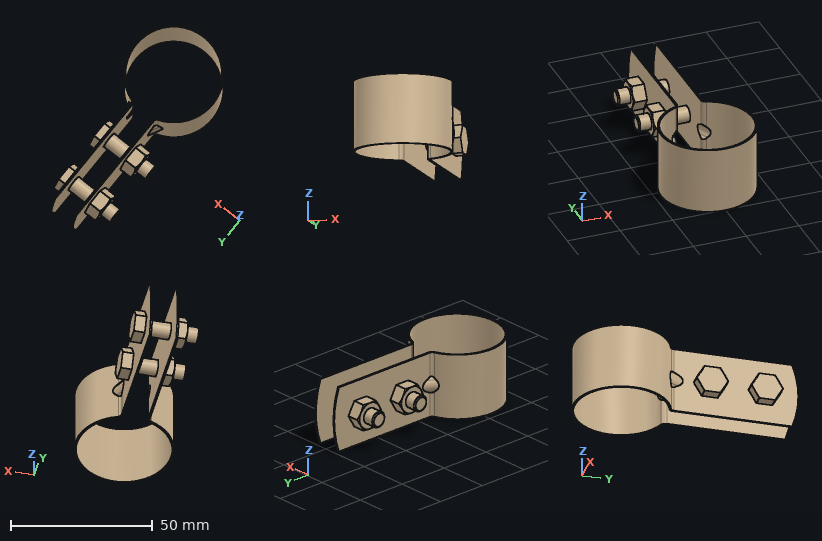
import cadquery as cq
import math


strap_width = 25.0
strap_thickness = 0.6
overall_length = 80.9
ring_diameter = 35.2
ring_radius = ring_diameter / 2
tab_face = 5.1
tab_end = overall_length - ring_radius
tab_end_rise = 2.2
bend_radius = 1.4

gusset_top_y = 21.1
gusset_foot_x = 7.8
gusset_diameter = 7.0
gusset_radius = gusset_diameter / 2
gusset_flank_angle = 40.0
gusset_depth = 3.2
gusset_overrun = 1.0

bolt_count = 2
bolt_diameter = 6.0
bolt_chamfer = 0.5
shank_length = 20.0
hex_across_flats = 10.0
hex_across_corners = hex_across_flats / math.cos(math.radians(30))
head_height = 4.0
nut_height = 5.0
nut_chamfer_angle = 30.0
bolt_end_distance = 12.45
bolt_spacing = 20.0
bolt_positions = [tab_end - bolt_end_distance - i * bolt_spacing for i in range(bolt_count)]


def strap_edge_points(depth):
    """Points along the -X half of the strap at a depth below its outer surface."""
    bend_x = -tab_face - bend_radius
    bend_y = math.sqrt((ring_radius + bend_radius) ** 2 - bend_x ** 2)
    ring_bend_angle = math.atan2(-bend_y, -bend_x)
    radius = bend_radius + depth

    def on_bend(angle):
        return (bend_x + radius * math.cos(angle), bend_y + radius * math.sin(angle))

    return {
        "tab_end": (-tab_face + depth, tab_end),
        "bend_start": on_bend(0),
        "bend_middle": on_bend(ring_bend_angle / 2),
        "bend_end": on_bend(ring_bend_angle),
        "ring_bottom": (0, depth - ring_radius),
    }


def enclosed_solid(depth):
    """Keyhole-shaped solid enclosed by the strap surface at a depth, gussets included."""
    left = strap_edge_points(depth)
    right = {name: (-x, y) for name, (x, y) in left.items()}
    keyhole = (
        cq.Workplane("XY")
        .moveTo(*left["tab_end"])
        .lineTo(*left["bend_start"])
        .threePointArc(left["bend_middle"], left["bend_end"])
        .threePointArc(left["ring_bottom"], right["bend_end"])
        .threePointArc(right["bend_middle"], right["bend_start"])
        .lineTo(*right["tab_end"])
        .close()
        .extrude(strap_width / 2, both=True)
    )
    press = gusset_press(depth)
    return keyhole.union(press).union(press.mirror("YZ"))


def gusset_press(depth):
    """Round-nosed V prism along the -X ridge, set a depth below the outer surface."""
    foot_y = math.sqrt(ring_radius ** 2 - gusset_foot_x ** 2)
    run_x = tab_face - gusset_foot_x
    run_y = foot_y - gusset_top_y
    ridge_length = math.hypot(run_x, run_y)
    ridge_plane = cq.Plane(
        origin=(-tab_face, gusset_top_y, 0),
        xDir=(run_y, -run_x, 0),
        normal=(run_x, run_y, 0),
    )
    radius = gusset_radius - depth
    flank = math.radians(gusset_flank_angle)
    arc_x = -gusset_radius + radius * math.cos(flank)
    arc_y = radius * math.sin(flank)
    base_y = arc_y + (gusset_depth + arc_x) / math.tan(flank)
    return (
        cq.Workplane(ridge_plane)
        .workplane(offset=-gusset_overrun)
        .moveTo(-gusset_depth, -base_y)
        .lineTo(arc_x, -arc_y)
        .threePointArc((-depth, 0), (arc_x, arc_y))
        .lineTo(-gusset_depth, base_y)
        .close()
        .extrude(ridge_length + 2 * gusset_overrun)
    )


def tab_end_limit():
    """Slab with a rounded +Y end that trims both tabs."""
    return (
        cq.Workplane("YZ")
        .moveTo(-ring_radius, -strap_width / 2)
        .lineTo(tab_end - tab_end_rise, -strap_width / 2)
        .threePointArc((tab_end, 0), (tab_end - tab_end_rise, strap_width / 2))
        .lineTo(-ring_radius, strap_width / 2)
        .close()
        .extrude(ring_radius, both=True)
    )


def shank_cylinder(y):
    """Plain bolt shank, from under the head at +X toward -X."""
    return (
        cq.Workplane("YZ", origin=(tab_face, y, 0))
        .circle(bolt_diameter / 2)
        .extrude(-shank_length)
    )


def make_strap():
    strap = enclosed_solid(0).cut(enclosed_solid(strap_thickness))
    strap = strap.intersect(tab_end_limit())
    for y in bolt_positions:
        strap = strap.cut(shank_cylinder(y))
    return strap


def hex_prism(x, y, height):
    """Hexagonal prism with corners along Y, extruded along X."""
    return cq.Workplane("YZ", origin=(x, y, 0)).polygon(6, hex_across_corners).extrude(height)


def make_bolt(y):
    shank = shank_cylinder(y).faces("<X").chamfer(bolt_chamfer)
    return shank.union(hex_prism(tab_face, y, head_height))


def make_nut(y):
    """Nut against the -X tab, its outer corners cut back by a cone."""
    face_radius = hex_across_flats / 2
    corner_radius = hex_across_corners / 2
    chamfer_height = (corner_radius - face_radius) * math.tan(math.radians(nut_chamfer_angle))
    turned_blank = (
        cq.Workplane("XY", origin=(-tab_face, y, 0))
        .lineTo(0, corner_radius)
        .lineTo(-nut_height + chamfer_height, corner_radius)
        .lineTo(-nut_height, face_radius)
        .lineTo(-nut_height, 0)
        .close()
        .revolve(360, (0, 0, 0), (1, 0, 0))
    )
    return hex_prism(-tab_face, y, -nut_height).intersect(turned_blank).cut(shank_cylinder(y))


strap = make_strap()
bolts = [make_bolt(y) for y in bolt_positions]
nuts = [make_nut(y) for y in bolt_positions]

result = cq.Compound.makeCompound(
    [strap.val()] + [bolt.val() for bolt in bolts] + [nut.val() for nut in nuts]
)